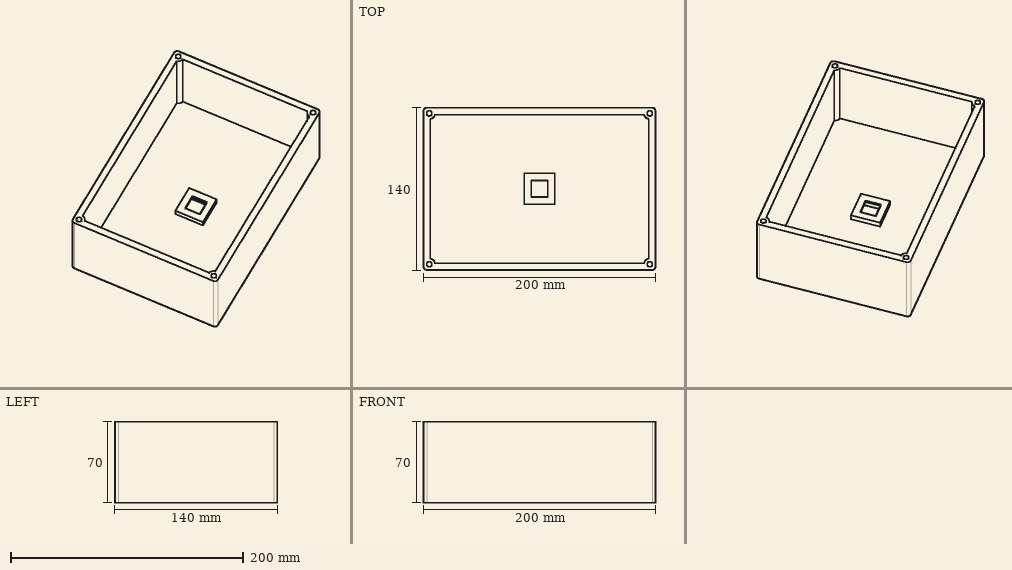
import cadquery as cq

length = 200.0
width = 140.0
height = 70.0
outer_corner_radius = 3.0
wall = 6.0
floor = 5.0

post_inset = 5.0
post_radius = 5.0
screw_hole_diameter = 4.6
screw_hole_depth = 20.0

pad_side = 26.5
pad_height = 5.0
opening_side = 14.0
lip_thickness = 2.0
pocket_side = 20.0


def make_envelope():
    """Solid block with rounded vertical edges that bounds the whole part."""
    block = cq.Workplane("XY").box(length, width, height, centered=(True, True, False))
    return block.edges("|Z").fillet(outer_corner_radius)


def make_shell():
    """Open-topped box."""
    cavity = (
        cq.Workplane("XY")
        .workplane(offset=floor)
        .rect(length - 2 * wall, width - 2 * wall)
        .extrude(height - floor)
    )
    return make_envelope().cut(cavity)


def post_centers():
    """Workplane on the rim with a point on each corner post axis."""
    return (
        cq.Workplane("XY")
        .workplane(offset=height)
        .rect(length - 2 * post_inset, width - 2 * post_inset, forConstruction=True)
        .vertices()
    )


def add_corner_posts(body):
    """Round posts in the cavity corners, trimmed to the outer body."""
    posts = post_centers().circle(post_radius).extrude(-height)
    return body.union(posts.intersect(make_envelope()))


def cut_screw_holes(body):
    """Blind screw holes from the rim down into the posts."""
    return body.cut(post_centers().circle(screw_hole_diameter / 2).extrude(-screw_hole_depth))


def square_prism(side, prism_height):
    """Square prism centered on the Z axis, standing on the bottom plane."""
    return cq.Workplane("XY").rect(side, side).extrude(prism_height)


def add_pad(body):
    """Square pad whose lip frames the opening, with a wider pocket from the underside."""
    pad_top = floor + pad_height
    opening = square_prism(opening_side, pad_top)
    pocket = square_prism(pocket_side, pad_top - lip_thickness)
    return body.union(square_prism(pad_side, pad_top)).cut(opening).cut(pocket)


result = add_pad(cut_screw_holes(add_corner_posts(make_shell())))